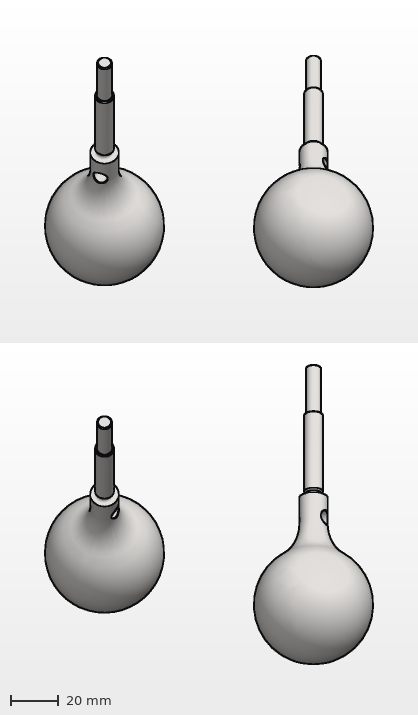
import cadquery as cq
import math

total_height = 133.4
ball_radius = 25.0
blend_radius = 20.0
collar_radius = 6.0
collar_top = 73.7
shaft_radius = 4.0
shaft_bottom = 76.7
shaft_chamfer = 0.5
groove_radius = 3.2
foot_fillet = 1.5
groove_top = 75.9
tip_radius = 3.2
tip_length = 21.5
tip_chamfer = 0.5
hole_diameter = 6.0
hole_chamfer = 0.3
hole_height = 63.6

blend_center_x = collar_radius + blend_radius
center_distance = ball_radius + blend_radius
center_rise = math.sqrt(center_distance**2 - blend_center_x**2)
collar_bottom = ball_radius + center_rise
tangent_fraction = ball_radius / center_distance
tangent_x = blend_center_x * tangent_fraction
tangent_z = ball_radius + center_rise * tangent_fraction

blend_mid_angle = math.atan2(center_rise, blend_center_x) / 2
blend_mid = (
    blend_center_x - blend_radius * math.cos(blend_mid_angle),
    collar_bottom - blend_radius * math.sin(blend_mid_angle),
)

groove_bottom = collar_top + foot_fillet
foot_radius = groove_radius + foot_fillet
foot_mid_offset = foot_fillet * (1 - math.sqrt(0.5))
foot_mid = (groove_radius + foot_mid_offset, collar_top + foot_mid_offset)

tip_bottom = total_height - tip_length


def turned_body():
    """Ball, blend, collar, undercut groove, shaft and tip as one revolved profile."""
    profile = (
        cq.Workplane("XZ")
        .moveTo(0, 0)
        .threePointArc((ball_radius, ball_radius), (tangent_x, tangent_z))
        .threePointArc(blend_mid, (collar_radius, collar_bottom))
        .lineTo(collar_radius, collar_top)
        .lineTo(foot_radius, collar_top)
        .threePointArc(foot_mid, (groove_radius, groove_bottom))
        .lineTo(groove_radius, groove_top)
        .lineTo(shaft_radius, shaft_bottom)
        .lineTo(shaft_radius, tip_bottom - shaft_chamfer)
        .lineTo(shaft_radius - shaft_chamfer, tip_bottom)
        .lineTo(tip_radius, tip_bottom)
        .lineTo(tip_radius, total_height - tip_chamfer)
        .lineTo(tip_radius - tip_chamfer, total_height)
        .lineTo(0, total_height)
        .close()
    )
    return profile.revolve(360, (0, 0), (0, 1))


def cross_hole():
    """Round hole along Y that passes through the collar and the start of the blend."""
    return (
        cq.Workplane("XZ")
        .center(0, hole_height)
        .circle(hole_diameter / 2)
        .extrude(ball_radius, both=True)
    )


def mouth_edges(body):
    """Edges of the cross hole where it breaks out of the neck, on both sides."""
    hole_radius = hole_diameter / 2
    search_margin = 0.1
    reach = hole_radius + search_margin
    selector = cq.selectors.BoxSelector(
        (-reach, -ball_radius, hole_height - reach),
        (reach, ball_radius, hole_height + reach),
        boundingbox=True,
    )
    return body.edges(selector)


drilled_body = turned_body().cut(cross_hole())
result = mouth_edges(drilled_body).chamfer(hole_chamfer)